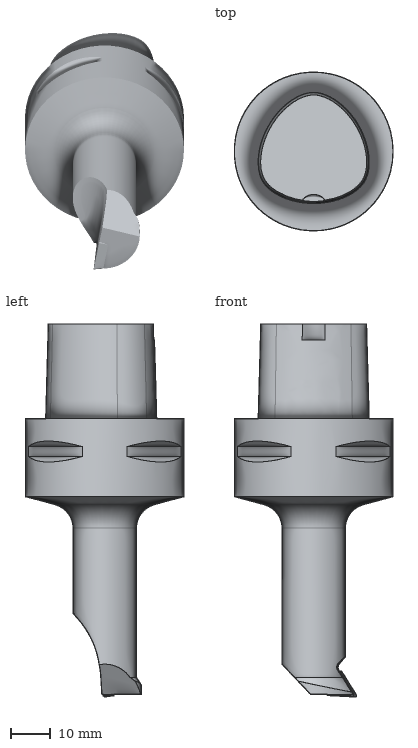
import cadquery as cq
import math

TOTAL_HEIGHT = 94.0
FLANGE_TOP = 70.1
FLANGE_BOTTOM = 50.5
HEAD_TOP = 5.0
HEAD_BOTTOM = 0.7

FLANGE_RADIUS = 40.0 / 2
SHANK_RADIUS = 16.0 / 2
FLANGE_CONE_ANGLE = 15.0
NECK_RADIUS = 6.1

TAPER_BASE_RADIUS = 14.0
TAPER_TOP_RADIUS = 13.35
LOBE_ECCENTRICITY = 1.8
LOBE_COUNT = 3
FLANK_HALF_ANGLE = 32.0
SPAN_STEPS = 12
KEY_NOTCH_RADIUS = 3.5
KEY_NOTCH_OFFSET = 14.3
KEY_NOTCH_DEPTH = 4.0

SLOT_COUNT = 4
SLOT_HEIGHT = 61.85
SLOT_FLOOR_DISTANCE = 17.6
SLOT_FLOOR_WIDTH = 2.4
SLOT_FLANK_ANGLE = 30.0

HEAD_RADIUS = 9.2
HEAD_OFFSET = HEAD_RADIUS - SHANK_RADIUS
HEAD_FLARE = 0.63
BEVEL_ANGLE = 46.5
BEVEL_START_X = -0.75

TIP_X = 10.8
RAKE_ANGLE = 3.7
INSERT_ANGLE = 55.0
LEAD_ANGLE = 3.0
INSERT_EDGE = 7.7
INSERT_THICKNESS = 2.35
INSERT_CLEARANCE_ANGLE = 7.0
NOSE_RADIUS = 0.4
INSERT_OVERHANG = 0.2

FLUTE_RADIUS = 21.15
FLUTE_TANGENT_HEIGHT = 5.2

RELIEF_RADIUS = 2.8 / 2
RELIEF_DISTANCE = 8.1
RELIEF_WALL_ANGLE = 50.0

CUT_REACH = 37.6


def polar(length, degrees):
    """Plane vector with the given length and direction."""
    angle = math.radians(degrees)
    return cq.Vector(length * math.cos(angle), length * math.sin(angle))


def at_tip(shape):
    """Move a shape from the origin to the tip and turn it by the rake angle."""
    return shape.rotate((0, 0, 0), (0, 0, 1), -RAKE_ANGLE).translate((TIP_X, 0, 0))


SIDE_EDGE_DIRECTION = 180 - LEAD_ANGLE - INSERT_ANGLE
END_EDGE_DIRECTION = 180 - LEAD_ANGLE


def make_insert():
    end_corner = polar(INSERT_EDGE, END_EDGE_DIRECTION)
    side_corner = polar(INSERT_EDGE, SIDE_EDGE_DIRECTION)
    corners = [cq.Vector(0, 0), end_corner, end_corner + side_corner, side_corner]
    nose_distance = NOSE_RADIUS / math.sin(math.radians(INSERT_ANGLE / 2))
    nose_center = polar(nose_distance, (SIDE_EDGE_DIRECTION + END_EDGE_DIRECTION) / 2)
    shift = cq.Vector(-nose_center.x - NOSE_RADIUS, NOSE_RADIUS - nose_center.y)
    outline = [(corner + shift).toTuple()[:2] for corner in corners]
    blank = cq.Workplane("XZ").polyline(outline).close().extrude(
        INSERT_THICKNESS, taper=INSERT_CLEARANCE_ANGLE)
    nose_edge = cq.selectors.NearestToPointSelector((0, -INSERT_THICKNESS / 2, 0))
    return at_tip(blank.edges("not(#Y)").edges(nose_edge).fillet(NOSE_RADIUS))


def taper_section(radius, height):
    """Closed trochoid outline with one lobe toward +Y."""
    def point(t):
        turn = 2 * math.pi * t
        across = (radius * math.sin(turn) + LOBE_ECCENTRICITY * math.sin(2 * turn)
                  + LOBE_ECCENTRICITY / 2 * math.sin(4 * turn))
        along = (radius * math.cos(turn) - LOBE_ECCENTRICITY * math.cos(2 * turn)
                 + LOBE_ECCENTRICITY / 2 * math.cos(4 * turn))
        return across, -along, height
    flank_half = FLANK_HALF_ANGLE / 360
    edges = []
    for index in range(LOBE_COUNT):
        flank_middle = index / LOBE_COUNT
        flank_start = flank_middle - flank_half
        flank_end = flank_middle + flank_half
        next_flank_start = flank_start + 1 / LOBE_COUNT
        for start, stop in [(flank_start, flank_end), (flank_end, next_flank_start)]:
            points = [cq.Vector(*point(start + (stop - start) * step / SPAN_STEPS))
                      for step in range(SPAN_STEPS + 1)]
            edges.append(cq.Edge.makeSpline(points))
    return cq.Wire.assembleEdges(edges)


def make_taper():
    taper = cq.Solid.makeLoft([
        taper_section(TAPER_BASE_RADIUS, FLANGE_TOP),
        taper_section(TAPER_TOP_RADIUS, TOTAL_HEIGHT),
    ], True)
    notch = (cq.Workplane("XY", origin=(0, -KEY_NOTCH_OFFSET, TOTAL_HEIGHT - KEY_NOTCH_DEPTH))
             .circle(KEY_NOTCH_RADIUS).extrude(KEY_NOTCH_DEPTH))
    return cq.Workplane(taper).cut(notch)


def make_flange_and_shank():
    cone_slope = math.tan(math.radians(FLANGE_CONE_ANGLE))
    neck_height = FLANGE_BOTTOM - (FLANGE_RADIUS - SHANK_RADIUS) * cone_slope
    tangent_length = NECK_RADIUS * math.tan(math.radians((90 - FLANGE_CONE_ANGLE) / 2))
    corner = cq.Vector(SHANK_RADIUS, neck_height)
    cone_end = corner + polar(tangent_length, FLANGE_CONE_ANGLE)
    shank_end = corner - cq.Vector(0, tangent_length)
    arc_center = shank_end + cq.Vector(NECK_RADIUS, 0)
    arc_middle = arc_center + polar(NECK_RADIUS, 180 - (90 - FLANGE_CONE_ANGLE) / 2)
    return (cq.Workplane("XZ").moveTo(0, HEAD_TOP)
            .lineTo(SHANK_RADIUS, HEAD_TOP)
            .lineTo(shank_end.x, shank_end.y)
            .threePointArc((arc_middle.x, arc_middle.y), (cone_end.x, cone_end.y))
            .lineTo(FLANGE_RADIUS, FLANGE_BOTTOM)
            .lineTo(FLANGE_RADIUS, FLANGE_TOP)
            .lineTo(0, FLANGE_TOP)
            .close().revolve(360, (0, 0, 0), (0, 1, 0)))


def make_head():
    height = HEAD_TOP - HEAD_BOTTOM
    flare = cq.Solid.makeCone(SHANK_RADIUS + HEAD_FLARE * height, SHANK_RADIUS, height,
                              cq.Vector(0, 0, HEAD_BOTTOM))
    return (cq.Workplane("XY", origin=(HEAD_OFFSET, 0, HEAD_BOTTOM))
            .circle(HEAD_RADIUS).extrude(height).intersect(cq.Workplane(flare)))


def make_gripper_slot():
    depth = FLANGE_RADIUS - SLOT_FLOOR_DISTANCE
    half_floor = SLOT_FLOOR_WIDTH / 2
    half_mouth = half_floor + depth * math.tan(math.radians(SLOT_FLANK_ANGLE))
    return (cq.Workplane("XZ", origin=(0, 0, SLOT_HEIGHT))
            .polyline([(SLOT_FLOOR_DISTANCE, -half_floor), (FLANGE_RADIUS, -half_mouth),
                       (FLANGE_RADIUS, half_mouth), (SLOT_FLOOR_DISTANCE, half_floor)])
            .close().extrude(FLANGE_RADIUS, both=True))


def make_bevel_cutter():
    top = HEAD_BOTTOM + CUT_REACH * math.tan(math.radians(BEVEL_ANGLE))
    return (cq.Workplane("XZ")
            .polyline([(BEVEL_START_X, HEAD_BOTTOM), (BEVEL_START_X - CUT_REACH, top),
                       (BEVEL_START_X - CUT_REACH, HEAD_BOTTOM)])
            .close().extrude(CUT_REACH, both=True))


def make_flute_cutter():
    """Space ahead of the cutting face, curving out to the side of the shank."""
    middle_height = FLUTE_TANGENT_HEIGHT + FLUTE_RADIUS * math.sin(math.pi / 4)
    middle_depth = FLUTE_RADIUS * (1 - math.cos(math.pi / 4))
    cutter = (cq.Workplane("YZ").lineTo(0, FLUTE_TANGENT_HEIGHT)
              .threePointArc((middle_depth, middle_height),
                             (FLUTE_RADIUS, FLUTE_TANGENT_HEIGHT + FLUTE_RADIUS))
              .lineTo(FLUTE_RADIUS, 0)
              .close().extrude(CUT_REACH, both=True))
    return at_tip(cutter)


def make_relief_cutter():
    """Round-bottomed relief that follows the side edge of the insert."""
    outward = SIDE_EDGE_DIRECTION - 90
    face_start = polar(-INSERT_OVERHANG, outward) + polar(-RELIEF_DISTANCE, SIDE_EDGE_DIRECTION)
    face_end = polar(-INSERT_OVERHANG, outward) + polar(RELIEF_DISTANCE, SIDE_EDGE_DIRECTION)
    center = face_end + polar(RELIEF_RADIUS, outward)
    arc_start_angle = outward + 180
    arc_end_angle = RELIEF_WALL_ANGLE + 90
    arc_middle = center + polar(RELIEF_RADIUS, (arc_start_angle + arc_end_angle) / 2)
    arc_end = center + polar(RELIEF_RADIUS, arc_end_angle)
    wall_end = arc_end + polar(2 * RELIEF_DISTANCE, RELIEF_WALL_ANGLE)
    cutter = (cq.Workplane("XZ").moveTo(face_start.x, face_start.y)
              .lineTo(face_end.x, face_end.y)
              .threePointArc((arc_middle.x, arc_middle.y), (arc_end.x, arc_end.y))
              .lineTo(wall_end.x, wall_end.y)
              .lineTo(wall_end.x, face_start.y)
              .close().extrude(CUT_REACH, both=True))
    return at_tip(cutter)


def make_holder(insert):
    holder = make_flange_and_shank().union(make_head()).union(make_taper())
    slot = make_gripper_slot()
    for index in range(SLOT_COUNT):
        turn = (index + 0.5) * 360 / SLOT_COUNT
        holder = holder.cut(slot.rotate((0, 0, 0), (0, 0, 1), turn))
    holder = holder.cut(make_bevel_cutter())
    holder = holder.cut(make_flute_cutter())
    holder = holder.cut(make_relief_cutter())
    return holder.cut(insert)


insert = make_insert()
holder = make_holder(insert)
result = cq.Compound.makeCompound([holder.solids().val(), insert.val()])